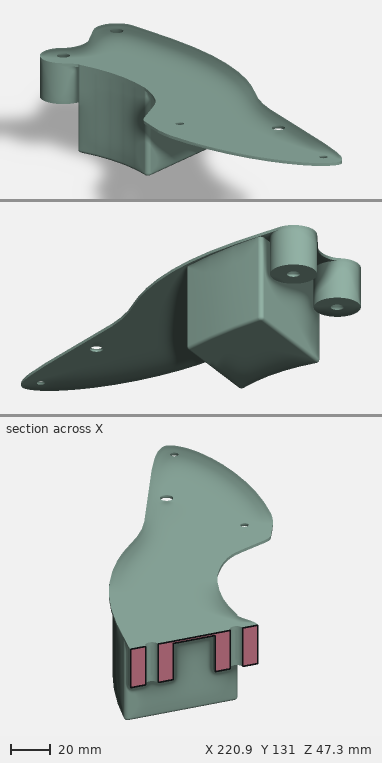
import cadquery as cq
import math

total_height = 47.3
plate_thickness = 1.5
boss_height = 21.9

boss_radius = 12.0
boss_spacing = 46.5
boss_centers = [(0, 0), (0, boss_spacing)]

mount_hole_diameter = 6.6
small_hole_diameter = 4.2
blade_hole = (153.3, -28.0)
small_holes = [(109.0, -51.7), (198.0, -51.7)]

block_left = 13.3
block_right = 65.0
block_left_front = -7.0
block_left_back = 55.9
block_right_front = -18.1
block_right_back = 40.2
block_front_middle = (39.0, -8.6)
block_back_middle = (39.0, 49.7)
block_corner_radius = 2.0
block_bottom_fillet = 1.5

upper_boss_top_angle = 82
upper_boss_notch_angle = 207
lower_boss_notch_angle = 119
lower_boss_neck_angle = 298

notch_start = (-4.6, 29.2)
notch_middle = (-2.0, 20.3)
back_curve = [(21.9, 54.8), (55.5, 46.0), (88.8, 29.4)]
back_end = (111.8, 10.0)
waist_middle = (120.2, 1.8)
waist_end = (132.7, -6.8)
blade_edge_end = (185.5, -33.8)
blade_nose = [(200.3, -42.5), (205.9, -46.8), (220.9 - boss_radius, -52.3), (205.9, -57.5), (195.0, -64.3)]
blade_belly = [(173.0, -70.5), (146.9, -72.5), (122.1, -70.5), (105.5, -66.0), (94.8, -60.3)]
throat_end = (88.1, -52.5)
neck_curve = [
    (84.5, -42.9), (80.5, -33.0), (72.2, -23.6), (58.3, -14.5), (44.5, -9.3), (24.0, -6.5), (10.8, -7.7)
]
blade_edge_direction = (0.88, -0.47)
throat_direction = (-0.3, 0.95)
neck_end_direction = (-0.88, -0.47)


def on_boss(center, angle):
    """Point on the rim of a boss at an angle from +X."""
    turn = math.radians(angle)
    return (center[0] + boss_radius * math.cos(turn), center[1] + boss_radius * math.sin(turn))


def make_plate():
    """Thin plate from the bosses to the blade tip, with straight edges inside the boss circles."""
    lower, upper = boss_centers
    return (
        cq.Workplane("XY")
        .moveTo(*on_boss(upper, upper_boss_top_angle))
        .spline(back_curve + [back_end], includeCurrent=True)
        .threePointArc(waist_middle, waist_end)
        .lineTo(*blade_edge_end)
        .spline(blade_nose + blade_belly + [throat_end], includeCurrent=True,
                tangents=[blade_edge_direction, throat_direction])
        .spline(neck_curve, tangents=[throat_direction, neck_end_direction], includeCurrent=True)
        .lineTo(*on_boss(lower, lower_boss_neck_angle))
        .lineTo(*on_boss(lower, lower_boss_notch_angle))
        .threePointArc(notch_middle, notch_start)
        .lineTo(*on_boss(upper, upper_boss_notch_angle))
        .close()
        .extrude(-plate_thickness)
    )


def make_block():
    """Deep block with flat ends and two curved sides close to the plate outline."""
    return (
        cq.Workplane("XY")
        .moveTo(block_left, block_left_front)
        .threePointArc(block_front_middle, (block_right, block_right_front))
        .lineTo(block_right, block_right_back)
        .threePointArc(block_back_middle, (block_left, block_left_back))
        .close()
        .extrude(-total_height)
        .edges("|Z").fillet(block_corner_radius)
        .faces("<Z").edges().fillet(block_bottom_fillet)
    )


def drill(centers, diameter):
    """Through-hole cutters at the given centres."""
    return cq.Workplane("XY").pushPoints(centers).circle(diameter / 2).extrude(-total_height)


plate = make_plate()
plate = plate.cut(drill([blade_hole], mount_hole_diameter))
plate = plate.cut(drill(small_holes, small_hole_diameter))
bosses = cq.Workplane("XY").pushPoints(boss_centers).circle(boss_radius).extrude(-boss_height)
result = plate.union(bosses).cut(drill(boss_centers, mount_hole_diameter)).union(make_block())